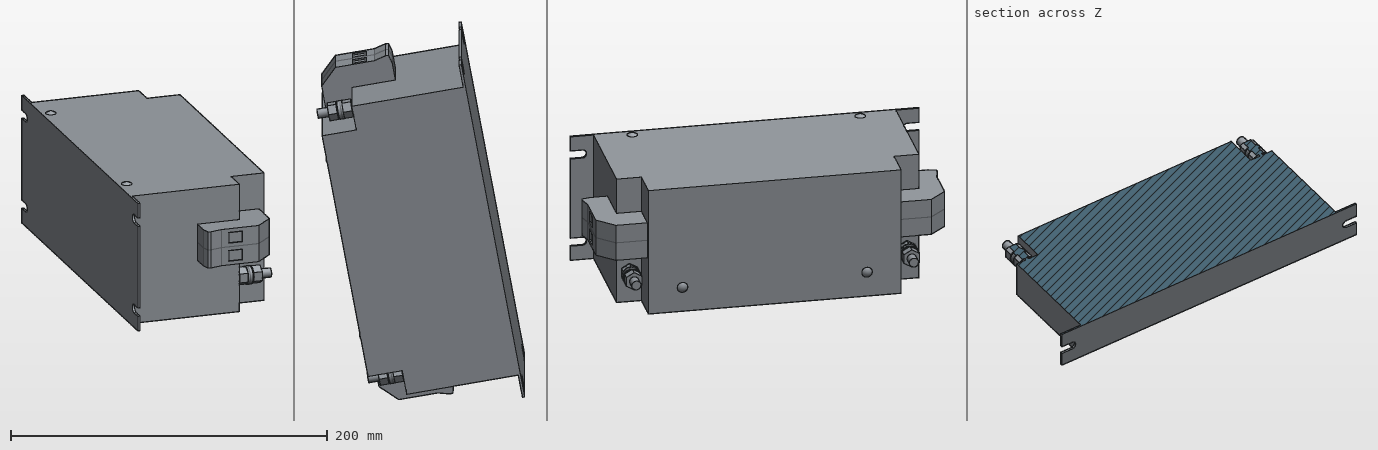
import cadquery as cq

OVERALL_WIDTH = 229.0

PLATE_WIDTH = 225.0
PLATE_THICKNESS = 1.5
SLOT_WIDTH = 5.5
SLOT_LENGTH = 10.5
SLOT_EDGE_DISTANCE = 12.5

BODY_WIDTH = 195.0
BODY_DEPTH = 95.0
BODY_HEIGHT = 85.0
RECESS_WIDTH = 16.0
RECESS_DEPTH = 22.0
RECESS_FLOOR_Y = BODY_DEPTH - RECESS_DEPTH
RECESS_WALL_X = BODY_WIDTH / 2 - RECESS_WIDTH

SCREW_HEAD_DIAMETER = 6.8
SCREW_HEAD_HEIGHT = 1.37
TOP_SCREW_X = 73.5
TOP_SCREW_Y = 6.0
BACK_SCREW_X = 59.5
BACK_SCREW_Z = 16.5

MODULE_COUNT = 2
MODULE_HEIGHT = 12.05
TERMINAL_BOTTOM_Z = 37.35
TERMINAL_FRONT_Y = 45.0
TERMINAL_BACK_Y = 91.6
TERMINAL_SIDE_X = PLATE_WIDTH / 2
TERMINAL_CHAMFER = 10.8
LIP_X = OVERALL_WIDTH / 2
LIP_START_Y = 55.8
LIP_TIP_Y = 48.3
LIP_CORNER_X = 114.3
LIP_CORNER_Y = 46.3
FRONT_BEVEL_X = 109.0
WINDOW_LENGTH = 9.0
WINDOW_HEIGHT = 7.0
WINDOW_DEPTH = 1.0
WINDOW_CENTRE_Y = 65.4
WINDOW_BOTTOM_OFFSET = 2.4

STUD_X = BODY_WIDTH / 2 - RECESS_WIDTH / 2
STUD_Z = 21.0
STUD_DIAMETER = 6.0
STUD_LENGTH = BODY_DEPTH + SCREW_HEAD_HEIGHT - RECESS_FLOOR_Y
COLLAR_DIAMETER = 9.0
COLLAR_HEIGHT = 1.3
NUT_CORNER_DIAMETER = 11.8
NUT_HEIGHT = 5.6
WASHER_DIAMETER = 11.8
WASHER_THICKNESS = 1.2
LOCK_WASHER_THICKNESS = 2.0
SPRING_WASHER_DIAMETER = 11.0
SPRING_WASHER_THICKNESS = 0.7


def add(base, other):
    """Join two shapes, keeping the dividing edges between flush faces."""
    return base.union(other, clean=False)


def both_ends(right_shape):
    """Return the +X shape together with its mirror image at the -X end."""
    return [right_shape, right_shape.mirror("YZ")]


def make_plate():
    plate = cq.Workplane("XY").box(
        PLATE_WIDTH, PLATE_THICKNESS, BODY_HEIGHT, centered=(True, False, False)
    )
    slots = (
        cq.Workplane("XZ")
        .pushPoints([
            (side * PLATE_WIDTH / 2, z)
            for side in (-1, 1)
            for z in (SLOT_EDGE_DISTANCE, BODY_HEIGHT - SLOT_EDGE_DISTANCE)
        ])
        .slot2D(2 * SLOT_LENGTH, SLOT_WIDTH)
        .extrude(-PLATE_THICKNESS)
    )
    return plate.cut(slots)


def make_body():
    outline = [
        (-BODY_WIDTH / 2, PLATE_THICKNESS),
        (BODY_WIDTH / 2, PLATE_THICKNESS),
        (BODY_WIDTH / 2, RECESS_FLOOR_Y),
        (RECESS_WALL_X, RECESS_FLOOR_Y),
        (RECESS_WALL_X, BODY_DEPTH),
        (-RECESS_WALL_X, BODY_DEPTH),
        (-RECESS_WALL_X, RECESS_FLOOR_Y),
        (-BODY_WIDTH / 2, RECESS_FLOOR_Y),
    ]
    return cq.Workplane("XY").polyline(outline).close().extrude(BODY_HEIGHT)


def make_screw_head():
    """Spherical cap on the XY plane, rising along +Z."""
    radius = SCREW_HEAD_DIAMETER / 2
    sphere_radius = (radius**2 + SCREW_HEAD_HEIGHT**2) / (2 * SCREW_HEAD_HEIGHT)
    sphere = cq.Workplane("XY").sphere(sphere_radius)
    sphere = sphere.translate((0, 0, SCREW_HEAD_HEIGHT - sphere_radius))
    envelope = cq.Workplane("XY").circle(SCREW_HEAD_DIAMETER).extrude(SCREW_HEAD_HEIGHT)
    return sphere.intersect(envelope)


def make_terminal_module():
    """One module at the +X end, filling the recess corner, with its underside at Z = 0."""
    outline = [
        (RECESS_WALL_X, TERMINAL_BACK_Y),
        (TERMINAL_SIDE_X - TERMINAL_CHAMFER, TERMINAL_BACK_Y),
        (TERMINAL_SIDE_X, TERMINAL_BACK_Y - TERMINAL_CHAMFER),
        (TERMINAL_SIDE_X, LIP_START_Y),
        (LIP_X, LIP_TIP_Y),
        (LIP_CORNER_X, LIP_CORNER_Y),
        (FRONT_BEVEL_X, TERMINAL_FRONT_Y),
        (BODY_WIDTH / 2, TERMINAL_FRONT_Y),
        (BODY_WIDTH / 2, RECESS_FLOOR_Y),
        (RECESS_WALL_X, RECESS_FLOOR_Y),
    ]
    module = cq.Workplane("XY").polyline(outline).close().extrude(MODULE_HEIGHT)
    window = cq.Workplane("XY").box(
        2 * WINDOW_DEPTH, WINDOW_LENGTH, WINDOW_HEIGHT, centered=(True, True, False)
    )
    return module.cut(window.translate((TERMINAL_SIDE_X, WINDOW_CENTRE_Y, WINDOW_BOTTOM_OFFSET)))


def make_stud():
    """Stud with its nuts and washers, standing on the XY plane along +Z."""
    stud = cq.Workplane("XY").circle(STUD_DIAMETER / 2).extrude(STUD_LENGTH)
    stud = stud.union(cq.Workplane("XY").circle(COLLAR_DIAMETER / 2).extrude(COLLAR_HEIGHT))
    nut = cq.Workplane("XY").polygon(6, NUT_CORNER_DIAMETER).extrude(NUT_HEIGHT)
    nut = nut.rotate((0, 0, 0), (0, 0, 1), 90)
    washer = cq.Workplane("XY").circle(WASHER_DIAMETER / 2).extrude(WASHER_THICKNESS)
    lock_washer = cq.Workplane("XY").circle(WASHER_DIAMETER / 2).extrude(LOCK_WASHER_THICKNESS)
    spring_washer = (
        cq.Workplane("XY").circle(SPRING_WASHER_DIAMETER / 2).extrude(SPRING_WASHER_THICKNESS)
    )
    stack = [
        (nut, NUT_HEIGHT),
        (washer, WASHER_THICKNESS),
        (lock_washer, LOCK_WASHER_THICKNESS),
        (spring_washer, SPRING_WASHER_THICKNESS),
        (nut, NUT_HEIGHT),
    ]
    level = COLLAR_HEIGHT
    for piece, height in stack:
        stud = add(stud, piece.translate((0, 0, level)))
        level += height
    return stud


def face_back(shape):
    """Turn a shape standing along +Z so that it points along +Y."""
    return shape.rotate((0, 0, 0), (1, 0, 0), -90)


attachments = []

screw_head = make_screw_head()
attachments += both_ends(screw_head.translate((TOP_SCREW_X, TOP_SCREW_Y, BODY_HEIGHT)))
attachments += both_ends(face_back(screw_head).translate((BACK_SCREW_X, BODY_DEPTH, BACK_SCREW_Z)))

terminal_module = make_terminal_module()
for index in range(MODULE_COUNT):
    module_z = TERMINAL_BOTTOM_Z + index * MODULE_HEIGHT
    attachments += both_ends(terminal_module.translate((0, 0, module_z)))

attachments += both_ends(face_back(make_stud()).translate((STUD_X, RECESS_FLOOR_Y, STUD_Z)))

result = make_plate().union(make_body(), clean=True)
for attachment in attachments:
    result = add(result, attachment)